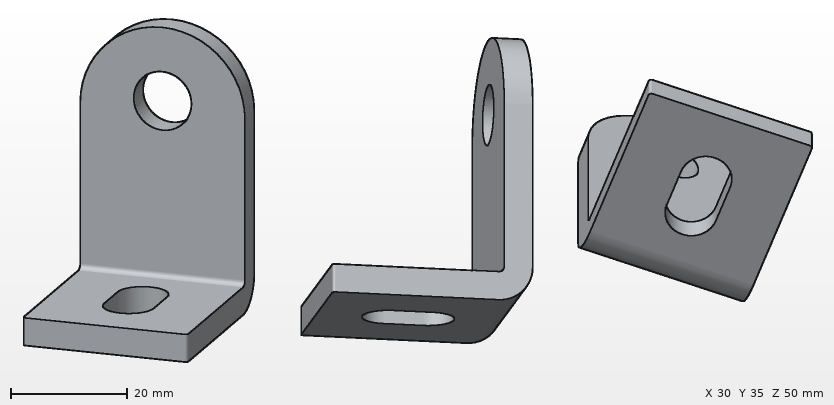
import cadquery as cq

width = 30.0
depth = 35.0
height = 50.0
thickness = 5.0

inner_bend_radius = 1.0
outer_bend_radius = inner_bend_radius + thickness

hole_diameter = 10.5
hole_height = 36.75

slot_width = 9.0
slot_length = 16.0
slot_from_front = 16.0

corner_radius = 0.5

upright_front = depth - thickness


def bent_strip():
    """L-shaped strip with concentric inner and outer bend radii."""
    strip = (
        cq.Workplane("YZ")
        .polyline([
            (0, 0),
            (depth, 0),
            (depth, height),
            (upright_front, height),
            (upright_front, thickness),
            (0, thickness),
        ])
        .close()
        .extrude(width / 2, both=True)
    )
    outer_edge = cq.selectors.NearestToPointSelector((0, depth, 0))
    inner_edge = cq.selectors.NearestToPointSelector((0, upright_front, thickness))
    strip = strip.edges("|X").edges(outer_edge).fillet(outer_bend_radius)
    return strip.edges("|X").edges(inner_edge).fillet(inner_bend_radius)


def upright_hole():
    return (
        cq.Workplane("XZ", origin=(0, depth, hole_height))
        .circle(hole_diameter / 2)
        .extrude(thickness)
    )


def base_slot():
    return (
        cq.Workplane("XY", origin=(0, slot_from_front, 0))
        .slot2D(slot_length, slot_width, angle=90)
        .extrude(thickness)
    )


def arched_outline():
    """Front outline of the bracket, extruded through its full depth."""
    half_width = width / 2
    arch_start = height - half_width
    return (
        cq.Workplane("XZ")
        .moveTo(-half_width, 0)
        .lineTo(half_width, 0)
        .lineTo(half_width, arch_start)
        .threePointArc((0, height), (-half_width, arch_start))
        .close()
        .extrude(-depth)
    )


bracket = bent_strip().intersect(arched_outline())
bracket = bracket.edges("|Z and <Y").fillet(corner_radius)
result = bracket.cut(upright_hole()).cut(base_slot())